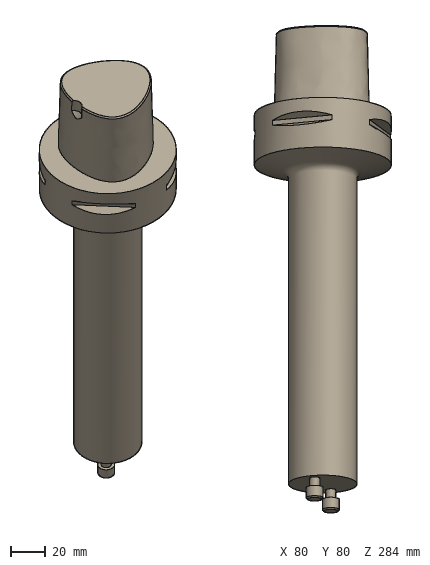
import cadquery as cq
import math

TOTAL_HEIGHT = 284.0
SHANK_BOTTOM = 12.8
HEAD_HEIGHT = 7.0
COUPLING_HEIGHT = 48.0
FLANGE_HEIGHT = 30.0
FLANGE_TOP = TOTAL_HEIGHT - COUPLING_HEIGHT
FLANGE_BOTTOM = FLANGE_TOP - FLANGE_HEIGHT

FLANGE_RADIUS = 80.0 / 2
SHANK_RADIUS = 40.0 / 2
CONE_SLOPE = math.radians(15)
NECK_FILLET = 4.3

LOBE_MEAN_RADIUS = 27.5
LOBE_ECCENTRICITY = 2.13
TAPER_RATIO = 1 / 40
TOP_CHAMFER = 0.9
LOBE_SPLINE_POINTS = 48

NOTCH_RADIUS = 10.0 / 2
NOTCH_WALL_DEPTH = 7.7
NOTCH_OFFSET = 2.3

GROOVE_COUNT = 4
GROOVE_DEPTH = 4.5
GROOVE_FLOOR_WIDTH = 2.8
GROOVE_FLANK_ANGLE = math.radians(30)
GROOVE_BELOW_FLANGE_TOP = 12.0

SCREW_OFFSET = 10.0
SCREW_NECK_RADIUS = 6.0 / 2
SCREW_HEAD_RADIUS = 10.0 / 2
SCREW_HEAD_CHAMFER = 0.9


def make_body():
    """Shank, conical shoulder with a filleted neck, and flange, as one revolved profile."""
    cone_bottom = FLANGE_BOTTOM - (FLANGE_RADIUS - SHANK_RADIUS) * math.tan(CONE_SLOPE)
    turn = math.pi / 2 - CONE_SLOPE
    tangent = NECK_FILLET * math.tan(turn / 2)
    center_x = SHANK_RADIUS + NECK_FILLET
    center_z = cone_bottom - tangent
    middle = math.pi - turn / 2
    arc_middle = (center_x + NECK_FILLET * math.cos(middle), center_z + NECK_FILLET * math.sin(middle))
    arc_end = (SHANK_RADIUS + tangent * math.cos(CONE_SLOPE), cone_bottom + tangent * math.sin(CONE_SLOPE))
    return (
        cq.Workplane("XZ")
        .moveTo(0, SHANK_BOTTOM)
        .lineTo(SHANK_RADIUS, SHANK_BOTTOM)
        .lineTo(SHANK_RADIUS, center_z)
        .threePointArc(arc_middle, arc_end)
        .lineTo(FLANGE_RADIUS, FLANGE_BOTTOM)
        .lineTo(FLANGE_RADIUS, FLANGE_TOP)
        .lineTo(0, FLANGE_TOP)
        .close()
        .revolve(360, (0, 0, 0), (0, 1, 0))
    )


def lobe_wire(mean_radius, z):
    """Closed hypotrochoid with one lobe toward +Y and a flat toward -Y."""
    points = []
    for i in range(LOBE_SPLINE_POINTS):
        angle = 2 * math.pi * i / LOBE_SPLINE_POINTS
        x = mean_radius * math.sin(angle) - LOBE_ECCENTRICITY * math.sin(2 * angle)
        y = mean_radius * math.cos(angle) + LOBE_ECCENTRICITY * math.cos(2 * angle)
        points.append(cq.Vector(x, y, z))
    return cq.Wire.assembleEdges([cq.Edge.makeSpline(points, periodic=True)])


def make_coupling():
    """Tapered lobed stub with a chamfered top edge and the notch."""
    chamfer_start = TOTAL_HEIGHT - TOP_CHAMFER
    upper_radius = LOBE_MEAN_RADIUS - TAPER_RATIO * (COUPLING_HEIGHT - TOP_CHAMFER)
    base = lobe_wire(LOBE_MEAN_RADIUS, FLANGE_TOP)
    shoulder = lobe_wire(upper_radius, chamfer_start)
    top = lobe_wire(upper_radius - TOP_CHAMFER, TOTAL_HEIGHT)
    stub = cq.Workplane(cq.Solid.makeLoft([base, shoulder], True))
    cap = cq.Workplane(cq.Solid.makeLoft([shoulder, top], True))
    notch_y = -(upper_radius - LOBE_ECCENTRICITY + NOTCH_OFFSET)
    return stub.union(cap).cut(make_notch_drill().translate((0, notch_y, 0)))


def make_notch_drill():
    """Vertical drill with a 90 degree point, its axis on Z."""
    wall_bottom = TOTAL_HEIGHT - NOTCH_WALL_DEPTH
    return (
        cq.Workplane("XZ")
        .moveTo(0, wall_bottom - NOTCH_RADIUS)
        .lineTo(NOTCH_RADIUS, wall_bottom)
        .lineTo(NOTCH_RADIUS, TOTAL_HEIGHT)
        .lineTo(0, TOTAL_HEIGHT)
        .close()
        .revolve(360, (0, 0, 0), (0, 1, 0))
    )


def make_groove_cutter():
    """Straight trapezoidal bar that cuts a groove across the +X side of the flange."""
    floor_x = FLANGE_RADIUS - GROOVE_DEPTH
    z = FLANGE_TOP - GROOVE_BELOW_FLANGE_TOP
    half_floor = GROOVE_FLOOR_WIDTH / 2
    half_mouth = half_floor + GROOVE_DEPTH * math.tan(GROOVE_FLANK_ANGLE)
    return (
        cq.Workplane("XZ")
        .moveTo(floor_x, z - half_floor)
        .lineTo(FLANGE_RADIUS, z - half_mouth)
        .lineTo(FLANGE_RADIUS, z + half_mouth)
        .lineTo(floor_x, z + half_floor)
        .close()
        .extrude(FLANGE_RADIUS, both=True)
    )


def make_screw():
    """Screw on the Z axis, reaching from its chamfered head up to the shank."""
    head = cq.Workplane("XY").circle(SCREW_HEAD_RADIUS).extrude(HEAD_HEIGHT)
    head = head.faces("<Z").chamfer(SCREW_HEAD_CHAMFER)
    neck = cq.Workplane("XY").circle(SCREW_NECK_RADIUS).extrude(SHANK_BOTTOM)
    return head.union(neck)


result = make_body().union(make_coupling())

for i in range(GROOVE_COUNT):
    groove_angle = (i + 0.5) * 360 / GROOVE_COUNT
    result = result.cut(make_groove_cutter().rotate((0, 0, 0), (0, 0, 1), groove_angle))

for side in (-1, 1):
    result = result.union(make_screw().translate((side * SCREW_OFFSET, -side * SCREW_OFFSET, 0)))